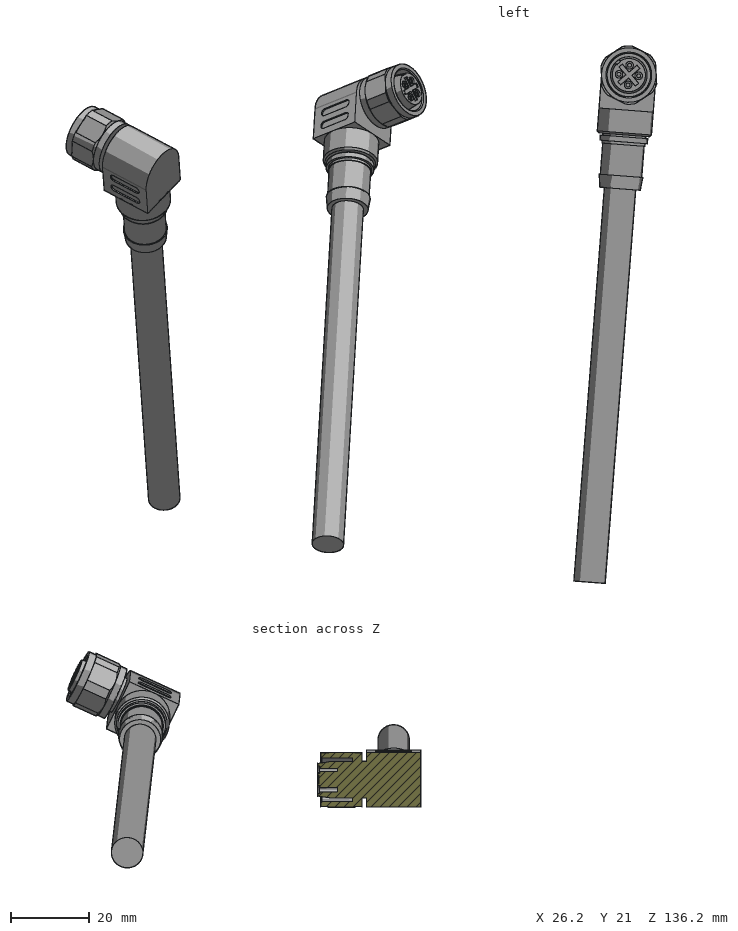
import cadquery as cq


CABLE_TILT = 4.43

BODY_RADIUS = 6.92
BODY_DEPTH = 8.9

GRIP_LENGTH = 9.1
GRIP_HEIGHT = 2.1
GRIP_DEPTH = 0.4
GRIP_LEVELS = (-2.15, -5.95)

OVERALL_LENGTH = 26.18
FACE_X = BODY_RADIUS - OVERALL_LENGTH
CARRIER_PROJECTION = 0.8
NUT_LENGTH = 10.5
NUT_FRONT_COLLAR = 1.9
HEX_LENGTH = 6.8
NUT_FRONT_X = FACE_X + CARRIER_PROJECTION
NUT_BACK_X = NUT_FRONT_X + NUT_LENGTH
HEX_FRONT_X = NUT_FRONT_X + NUT_FRONT_COLLAR
HEX_BACK_X = HEX_FRONT_X + HEX_LENGTH
NECK_RADIUS = 4.75
PLUG_INWARD = cq.Vector(1, 0, 0)

NUT_RADIUS = 6.9
HEX_FLATS = 13.9
HEX_CORNER_RADIUS = 7.42
HEX_CHAMFER = 0.5
HEX_SIDES = 6
HEX_ROTATION = 7.5
NUT_BORE_RADIUS = 5.5
NUT_BORE_CHAMFER = 0.3
NUT_BORE_DEPTH = 8.0

CARRIER_FACE_RADIUS = 4.2
CARRIER_RADIUS = 4.65
CARRIER_TAPER_LENGTH = 3.0
CONTACT_COUNT = 4
CONTACT_CIRCLE_RADIUS = 2.5
CONTACT_RECESS_DIAMETER = 1.9
CONTACT_RECESS_DEPTH = 0.5
CONTACT_BORE_DIAMETER = 1.0
CONTACT_BORE_DEPTH = 5.0
CROSS_WIDTH = 1.1
CROSS_LENGTH = 6.4
CROSS_DEPTH = 0.3
CROSS_ANGLE = 45.0
KEYWAY_WIDTH = 1.2
KEYWAY_DEPTH = 0.7
KEYWAY_LENGTH = 8.0
KEYWAY_ANGLE = 45.0

COLLAR_END = 15.2
COLLAR_CHAMFER = 0.5
RIB_RADIUS = 6.05
RIB_START = 15.7
RIB_END = 17.0
GROOVE_RADIUS = 5.5
GROOVE_END = 17.7
SLEEVE_RADIUS = 5.3
CUFF_RADIUS = 5.6
CUFF_START = 25.6
CUFF_END_RADIUS = 5.2
CUFF_END = 28.9

CABLE_RADIUS = 4.02
CABLE_END = 128.9


def cylinder_along_x(radius, start, end):
    return cq.Workplane("YZ").workplane(offset=start).circle(radius).extrude(end - start)


def make_body():
    barrel = cylinder_along_x(BODY_RADIUS, -BODY_RADIUS, BODY_RADIUS)
    width = 2 * BODY_RADIUS
    block = cq.Workplane("XY").rect(width, width).extrude(-BODY_DEPTH)
    body = barrel.union(block)
    for level in GRIP_LEVELS:
        for side in (-1, 1):
            grip = (
                cq.Workplane("XZ", origin=(0, side * BODY_RADIUS, level))
                .slot2D(GRIP_LENGTH, GRIP_HEIGHT)
                .extrude(GRIP_DEPTH, both=True)
            )
            body = body.cut(grip)
    return body


def make_strain_relief_and_cable():
    profile = [
        (0, -BODY_DEPTH),
        (BODY_RADIUS, -BODY_DEPTH),
        (BODY_RADIUS, -COLLAR_END + COLLAR_CHAMFER),
        (BODY_RADIUS - COLLAR_CHAMFER, -COLLAR_END),
        (GROOVE_RADIUS, -COLLAR_END),
        (GROOVE_RADIUS, -RIB_START),
        (RIB_RADIUS, -RIB_START),
        (RIB_RADIUS, -RIB_END),
        (GROOVE_RADIUS, -RIB_END),
        (GROOVE_RADIUS, -GROOVE_END),
        (SLEEVE_RADIUS, -GROOVE_END),
        (SLEEVE_RADIUS, -CUFF_START),
        (CUFF_RADIUS, -CUFF_START),
        (CUFF_END_RADIUS, -CUFF_END),
        (CABLE_RADIUS, -CUFF_END),
        (CABLE_RADIUS, -CABLE_END),
        (0, -CABLE_END),
    ]
    return cq.Workplane("XZ").polyline(profile).close().revolve(360, (0, 0), (0, 1))


def make_nut():
    outside = cylinder_along_x(NUT_RADIUS, NUT_FRONT_X, NUT_BACK_X)
    hexagon = (
        cq.Workplane("YZ", origin=(HEX_FRONT_X, 0, 0))
        .transformed(rotate=(0, 0, -HEX_ROTATION))
        .polygon(HEX_SIDES, HEX_FLATS, circumscribed=True)
        .extrude(HEX_LENGTH)
    )
    rounded_corners = cylinder_along_x(HEX_CORNER_RADIUS, HEX_FRONT_X, HEX_BACK_X)
    rounded_corners = rounded_corners.faces(">X").chamfer(HEX_CHAMFER)
    bore = cylinder_along_x(NUT_BORE_RADIUS, NUT_FRONT_X, NUT_FRONT_X + NUT_BORE_DEPTH)
    bore_mouth = cq.Workplane(cq.Solid.makeCone(
        NUT_BORE_RADIUS + NUT_BORE_CHAMFER, NUT_BORE_RADIUS, NUT_BORE_CHAMFER,
        cq.Vector(NUT_FRONT_X, 0, 0), PLUG_INWARD))
    return outside.union(hexagon.intersect(rounded_corners)).cut(bore).cut(bore_mouth)


def make_carrier():
    tip = cq.Workplane(cq.Solid.makeCone(
        CARRIER_FACE_RADIUS, CARRIER_RADIUS, CARRIER_TAPER_LENGTH,
        cq.Vector(FACE_X, 0, 0), PLUG_INWARD))
    carrier = tip.union(cylinder_along_x(CARRIER_RADIUS, FACE_X + CARRIER_TAPER_LENGTH, NUT_BACK_X))

    face = cq.Workplane("YZ", origin=(FACE_X, 0, 0))
    contacts = face.polarArray(CONTACT_CIRCLE_RADIUS, 0, 360, CONTACT_COUNT)
    carrier = carrier.cut(contacts.circle(CONTACT_RECESS_DIAMETER / 2).extrude(CONTACT_RECESS_DEPTH))
    carrier = carrier.cut(contacts.circle(CONTACT_BORE_DIAMETER / 2).extrude(CONTACT_BORE_DEPTH))

    for angle in (-CROSS_ANGLE, CROSS_ANGLE):
        groove = face.transformed(rotate=(0, 0, angle)).rect(CROSS_LENGTH, CROSS_WIDTH)
        carrier = carrier.cut(groove.extrude(CROSS_DEPTH))

    keyway = (
        face.transformed(rotate=(0, 0, -KEYWAY_ANGLE))
        .center(0, CARRIER_RADIUS)
        .rect(KEYWAY_WIDTH, 2 * KEYWAY_DEPTH)
        .extrude(KEYWAY_LENGTH)
    )
    return carrier.cut(keyway)


def make_neck():
    return cylinder_along_x(NECK_RADIUS, NUT_BACK_X, -BODY_RADIUS)


connector = (
    make_body()
    .union(make_strain_relief_and_cable())
    .union(make_neck())
    .union(make_nut())
    .union(make_carrier())
)
result = connector.rotate((0, 0, 0), (1, 0, 0), CABLE_TILT)